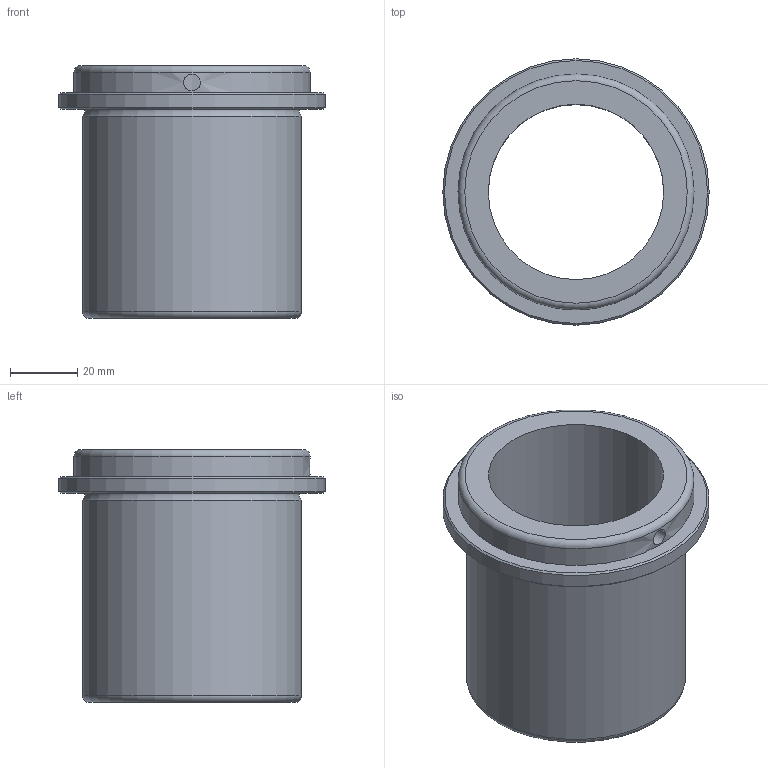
import cadquery as cq
import math

total_height = 75.0
collar_height = 8.0
flange_thickness = 5.0
flange_top = total_height - collar_height
flange_bottom = flange_top - flange_thickness

bore_diameter = 52.0
body_diameter = 65.0
collar_diameter = 70.0
flange_diameter = 79.0

edge_radius = 2.0
flange_chamfer = 0.5

relief_height = 2.0
relief_radius = 3.0

pin_hole_diameter = 5.0
pin_hole_drop = 5.0
pin_hole_height = total_height - pin_hole_drop


def make_body():
    """Lower sleeve with a rounded bottom rim and a concave relief at the top."""
    radius = body_diameter / 2

    sweep = math.asin(relief_height / relief_radius)
    neck_radius = radius - relief_radius * (1 - math.cos(sweep))
    relief_bottom = flange_bottom - relief_height
    relief_midpoint = (
        neck_radius + relief_radius * (1 - math.cos(sweep / 2)),
        flange_bottom - relief_radius * math.sin(sweep / 2),
    )

    return (
        cq.Workplane("XZ")
        .lineTo(radius, 0)
        .lineTo(radius, relief_bottom)
        .threePointArc(relief_midpoint, (neck_radius, flange_bottom))
        .lineTo(0, flange_bottom)
        .close()
        .revolve(360, (0, 0), (0, 1))
        .faces("<Z")
        .edges()
        .fillet(edge_radius)
    )


def make_flange():
    """Thin flange with both outer rims chamfered."""
    return (
        cq.Workplane("XY")
        .workplane(offset=flange_bottom)
        .circle(flange_diameter / 2)
        .extrude(flange_thickness)
        .edges()
        .chamfer(flange_chamfer)
    )


def make_collar():
    """Upper collar with a rounded top rim."""
    return (
        cq.Workplane("XY")
        .workplane(offset=flange_top)
        .circle(collar_diameter / 2)
        .extrude(collar_height)
        .faces(">Z")
        .edges()
        .fillet(edge_radius)
    )


def make_bore():
    """Through bore along the axis."""
    return cq.Workplane("XY").circle(bore_diameter / 2).extrude(total_height)


def make_pin_hole():
    """Radial hole running from the axis out through the -Y wall."""
    return (
        cq.Workplane("XZ")
        .center(0, pin_hole_height)
        .circle(pin_hole_diameter / 2)
        .extrude(collar_diameter)
    )


result = (
    make_body()
    .union(make_flange())
    .union(make_collar())
    .cut(make_bore())
    .cut(make_pin_hole())
)